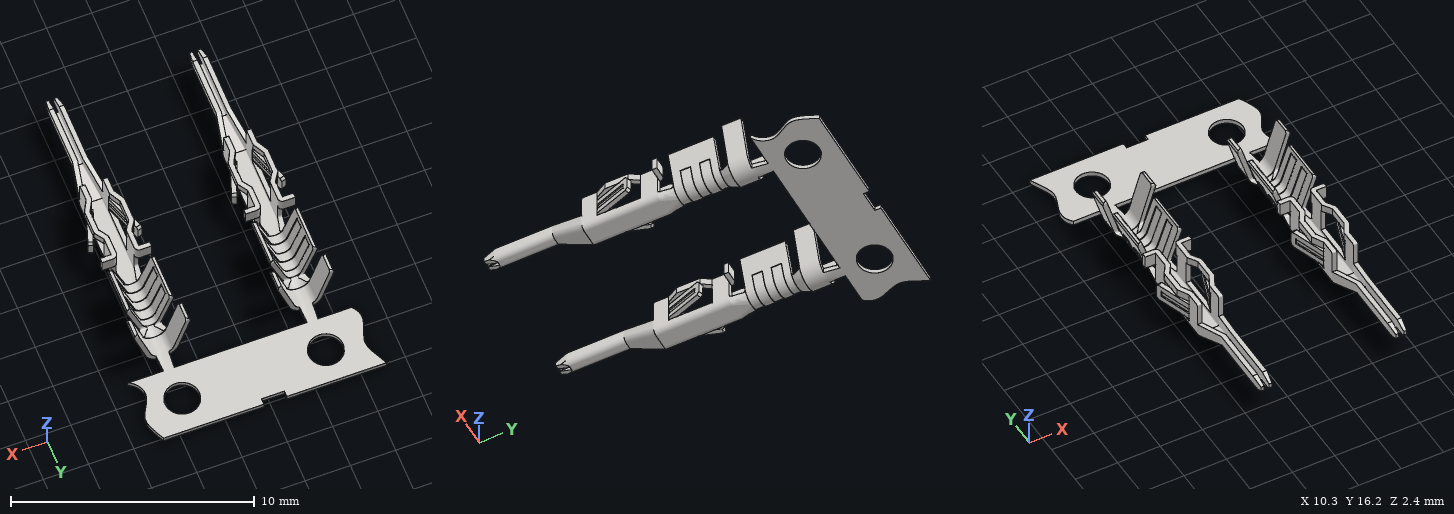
import cadquery as cq
import math

stock = 0.23
total_length = 16.2
pitch = 6.35

band_depth = 3.0
pilot_diameter = 1.5
notch_width = 1.0
notch_depth = 0.28
notch_x = -0.35
band_corner_left = -5.28
band_corner_right = 5.0
torn_left = [(-4.99, 2.41), (-4.81, 1.78), (-5.12, 0.78)]
torn_right = [(4.65, 0.29), (4.5, 0.75), (4.95, 1.85), (4.8, 2.56)]
band_rear_right = 4.58
band_front_left = -4.9

insulation_start = 0.73
insulation_end = 1.64
wire_start = 2.1
wire_end = 4.23
box_start = 4.94
box_end = 8.47
pin_start = 9.98
taper_start = 12.64
pin_end = total_length - band_depth

neck_half_width = 0.25
neck_barrel_half_width = 0.29

insulation_radius = 0.76
insulation_flare = 17
insulation_top = 2.4
wire_radius = 0.6
wire_flare = 19
wire_top = 2.19
tip_bevel = 0.08
arm_corner = 0.15
saddle_top = 0.4
dip_radius = 0.13

serration_starts = (2.45, 3.34)
serration_width = 0.47
serration_depth = 0.05
serration_arm = 1.38
imprint_height = 0.03
imprint_arm = 0.52

floor_z = 0.21
box_half_width = 0.62
box_top = 2.07
box_corner = 0.28
front_corner = 0.1
rail_top = 0.49
window_start = 5.73
window_end = 7.76
window_bottom = 0.58
window_top = 1.7
bulge_start = 6.15
bulge_end = 7.24
bulge_half_width = 0.89
wing_half_width = 1.1
wing_bottom = 1.43
bend_radius = 0.21

tine_angle = 18.8
tine_length = 1.81
tine_root = 0.08
tine_bottom = 0.71
tine_top = 1.52
tine_corner = 0.11
rib_width = 0.26
rib_depth = 0.06
rib_end_gap = 0.26

pin_half_width = 0.34
pin_bottom = 0.81
pin_top = 1.44
pin_corner = 0.25
shoulder_top = 0.97
tip_half_width = 0.26
tip_bottom = 1.0
tip_top = 1.23
prong_gap = 0.15

fine_radius = 0.05
above = 3.24


def at_station(station):
    """Cross-section plane; extruding from it runs along the terminal towards the pin."""
    return cq.Workplane("XZ", origin=(0, -station, 0))


def side_plate(outline, half_width):
    """Solid across the terminal, from (station, z) points."""
    points = [(-station, z) for station, z in outline]
    return cq.Workplane("YZ").polyline(points).close().extrude(half_width, both=True)


def plan_plate(outline, bottom, top):
    """Upright solid from (x, station) points."""
    points = [(x, -station) for x, station in outline]
    return cq.Workplane("XY", origin=(0, 0, bottom)).polyline(points).close().extrude(top - bottom)


def block(half_width, start, end, bottom, top):
    return side_plate([(start, bottom), (end, bottom), (end, top), (start, top)], half_width)


def both_sides(body):
    return body.union(body.mirror("YZ"))


def carrier_band():
    rear_left = (band_corner_left, band_depth)
    front_right = (band_corner_right, 0)
    band = (
        cq.Workplane("XY")
        .moveTo(*rear_left)
        .spline(torn_left + [(band_front_left, 0)], includeCurrent=True)
        .lineTo(*front_right)
        .spline(torn_right + [(band_rear_right, band_depth)], includeCurrent=True)
        .close()
        .extrude(stock)
    )
    pilots = (
        cq.Workplane("XY")
        .pushPoints([(-pitch / 2, band_depth / 2), (pitch / 2, band_depth / 2)])
        .circle(pilot_diameter / 2)
        .extrude(stock)
    )
    notch = cq.Workplane("XY").center(notch_x, band_depth).rect(notch_width, 2 * notch_depth).extrude(stock)
    return band.cut(pilots).cut(notch)


def barrel_band(start, end, center_z, outer, inner, flare, reach, bevel=0.0):
    """Band with a round floor and two flared arms; `reach` is the arm length beyond the arc."""
    angle = math.radians(flare)

    def right_arm(radius, distance):
        x = radius * math.cos(angle) + distance * math.sin(angle)
        z = center_z - radius * math.sin(angle) + distance * math.cos(angle)
        return x, z

    def left_arm(radius, distance):
        x, z = right_arm(radius, distance)
        return -x, z

    profile = at_station(start).moveTo(*right_arm(outer, 0)).lineTo(*right_arm(outer, reach - bevel))
    if bevel > 0:
        profile = profile.lineTo(*right_arm(outer - bevel, reach))
    profile = (
        profile.lineTo(*right_arm(inner, reach))
        .lineTo(*right_arm(inner, 0))
        .threePointArc((0, center_z - inner), left_arm(inner, 0))
        .lineTo(*left_arm(inner, reach))
    )
    if bevel > 0:
        profile = profile.lineTo(*left_arm(outer - bevel, reach))
    profile = (
        profile.lineTo(*left_arm(outer, reach - bevel))
        .lineTo(*left_arm(outer, 0))
        .threePointArc((0, center_z - outer), right_arm(outer, 0))
    )
    return profile.close().extrude(end - start)


def crimp_barrel(start, end, bottom, top, radius, flare):
    center_z = bottom + radius
    inner = radius - stock
    angle = math.radians(flare)
    reach = (top - center_z + inner * math.sin(angle)) / math.cos(angle)
    barrel = barrel_band(start, end, center_z, radius, inner, flare, reach, tip_bevel)
    envelope = block(above, start, end, bottom, top).edges("|X and >Z").fillet(arm_corner)
    return barrel.intersect(envelope)


def insulation_barrel():
    return crimp_barrel(
        insulation_start, insulation_end, 0, insulation_top, insulation_radius, insulation_flare
    )


def wire_barrel():
    barrel = crimp_barrel(wire_start, wire_end, floor_z, wire_top, wire_radius, wire_flare)
    center_z = floor_z + wire_radius
    inner = wire_radius - stock
    for start in serration_starts:
        end = start + serration_width
        groove = barrel_band(
            start, end, center_z, inner + serration_depth, inner, wire_flare, serration_arm
        )
        imprint = barrel_band(
            start, end, center_z, wire_radius + imprint_height, wire_radius, wire_flare, imprint_arm
        )
        barrel = barrel.cut(groove).union(imprint)
    return barrel


def channel_profile(plane, half_width, bottom, top, corner):
    """U section with rounded floor corners, drawn on a cross-section plane."""
    inner_half = half_width - stock
    inner_corner = max(corner - stock, fine_radius)
    inner_bottom = bottom + stock
    return (
        plane.moveTo(-half_width, top)
        .lineTo(-half_width, bottom + corner)
        .radiusArc((-half_width + corner, bottom), -corner)
        .lineTo(half_width - corner, bottom)
        .radiusArc((half_width, bottom + corner), -corner)
        .lineTo(half_width, top)
        .lineTo(inner_half, top)
        .lineTo(inner_half, inner_bottom + inner_corner)
        .radiusArc((inner_half - inner_corner, inner_bottom), inner_corner)
        .lineTo(inner_corner - inner_half, inner_bottom)
        .radiusArc((-inner_half, inner_bottom + inner_corner), inner_corner)
        .lineTo(-inner_half, top)
        .close()
    )


def channel(start, end, section):
    return channel_profile(at_station(start), *section).extrude(end - start)


def channel_loft(start, end, first, last):
    loft = channel_profile(at_station(start), *first)
    loft = channel_profile(loft.workplane(offset=end - start), *last)
    return loft.loft(ruled=True)


def neck():
    """Strip, flat at the band, that curls to the floor of the insulation barrel."""

    def edge_height(radius):
        return insulation_radius - math.sqrt(radius ** 2 - neck_barrel_half_width ** 2)

    low = edge_height(insulation_radius)
    high = edge_height(insulation_radius - stock)
    half = neck_barrel_half_width
    return (
        at_station(0)
        .polyline([(-neck_half_width, 0), (neck_half_width, 0)])
        .lineTo(neck_half_width, stock)
        .lineTo(-neck_half_width, stock)
        .close()
        .workplane(offset=insulation_start)
        .moveTo(-half, low)
        .threePointArc((0, 0), (half, low))
        .lineTo(half, high)
        .threePointArc((0, stock), (-half, high))
        .close()
        .loft(ruled=True)
    )


def dip(start, end, bottom):
    """Cutter that lowers the walls between two stations, rounded at its lower edges."""
    return block(above, start, end, bottom, above).edges("|X and <Z").fillet(dip_radius)


def barrel_transition():
    """Floor stepping up from the insulation barrel to the wire barrel, with a dipped upper edge."""
    first = (insulation_radius, 0, insulation_radius, insulation_radius - fine_radius)
    last = (wire_radius, floor_z, floor_z + wire_radius, wire_radius - fine_radius)
    loft = channel_loft(insulation_end, wire_start, first, last)
    return loft.cut(dip(insulation_end, wire_start, saddle_top))


def box_transition():
    """Low rails from the wire barrel to the locking box."""
    wall_top = floor_z + wire_radius
    first = (wire_radius, floor_z, wall_top, wire_radius - fine_radius)
    last = (box_half_width, floor_z, wall_top, box_corner)
    loft = channel_loft(wire_end, box_start, first, last)
    return loft.cut(dip(wire_end, box_start, rail_top))


def bulged_strip():
    """Upper wall strip that bows outwards over the window."""
    slope = math.atan2(bulge_half_width - box_half_width, bulge_start - window_start)
    miter = stock * math.tan(slope / 2)
    outline = [
        (box_half_width, window_start),
        (bulge_half_width, bulge_start),
        (bulge_half_width, bulge_end),
        (box_half_width, window_end),
        (box_half_width - stock, window_end),
        (box_half_width - stock, window_end - miter),
        (bulge_half_width - stock, bulge_end - miter),
        (bulge_half_width - stock, bulge_start + miter),
        (box_half_width - stock, window_start + miter),
        (box_half_width - stock, window_start),
    ]
    return plan_plate(outline, window_top, box_top)


def wing():
    """Stop wing bent outwards at the rear of the wall."""
    inner = box_half_width - stock
    rear = box_start - stock
    outline = [(inner, box_start), (inner, rear), (wing_half_width, rear), (wing_half_width, box_start)]
    return plan_plate(outline, wing_bottom, box_top).edges("|Z and <X and >Y").fillet(bend_radius)


def tine():
    """Spring tine cut from the window, flared outwards towards the band, with a pressed rib."""
    middle_z = (tine_bottom + tine_top) / 2
    height = tine_top - tine_bottom
    leaf = cq.Workplane("XY").box(stock, tine_length + tine_root, height, centered=(False, False, True))
    leaf = leaf.edges("|X and >Y").chamfer(tine_corner).translate((-stock, -tine_root, 0))
    rib_length = tine_length - rib_end_gap
    rib = cq.Workplane("XY").box(2 * rib_depth, rib_length, rib_width, centered=(True, False, True))
    leaf = leaf.union(rib.translate((-stock, 0, 0))).cut(rib)
    leaf = leaf.rotate((0, 0, 0), (0, 0, 1), -tine_angle)
    return leaf.translate((box_half_width, -window_end, middle_z))


def locking_box():
    section = (box_half_width, floor_z, box_top, box_corner)
    box = channel(box_start, box_end, section)
    box = box.edges("|X and >Z and <Y").fillet(front_corner)
    box = box.cut(block(above, window_start, window_end, window_bottom, above))
    for part in (bulged_strip(), wing(), tine()):
        box = box.union(both_sides(part))
    return box


def contact_pin():
    shoulder = (box_half_width, floor_z, shoulder_top, box_corner)
    section = (pin_half_width, pin_bottom, pin_top, pin_corner)
    slope = channel_loft(box_end, pin_start, shoulder, section)
    pin = channel(pin_start, pin_end, section)
    side_outline = [
        (pin_start, pin_bottom),
        (taper_start, pin_bottom),
        (pin_end, tip_bottom),
        (pin_end, tip_top),
        (taper_start, pin_top),
        (pin_start, pin_top),
    ]
    plan_outline = [
        (-pin_half_width, pin_start),
        (-pin_half_width, taper_start),
        (-tip_half_width, pin_end),
        (tip_half_width, pin_end),
        (pin_half_width, taper_start),
        (pin_half_width, pin_start),
    ]
    pin = pin.intersect(side_plate(side_outline, above)).intersect(plan_plate(plan_outline, 0, above))
    pin = pin.cut(block(prong_gap / 2, taper_start, pin_end, 0, above))
    return slope.union(pin)


def terminal():
    body = neck()
    sections = (
        insulation_barrel(), barrel_transition(), wire_barrel(),
        box_transition(), locking_box(), contact_pin(),
    )
    for part in sections:
        body = body.union(part)
    return body


one_terminal = terminal()
result = carrier_band()
for x in (-pitch / 2, pitch / 2):
    result = result.union(one_terminal.translate((x, 0, 0)))